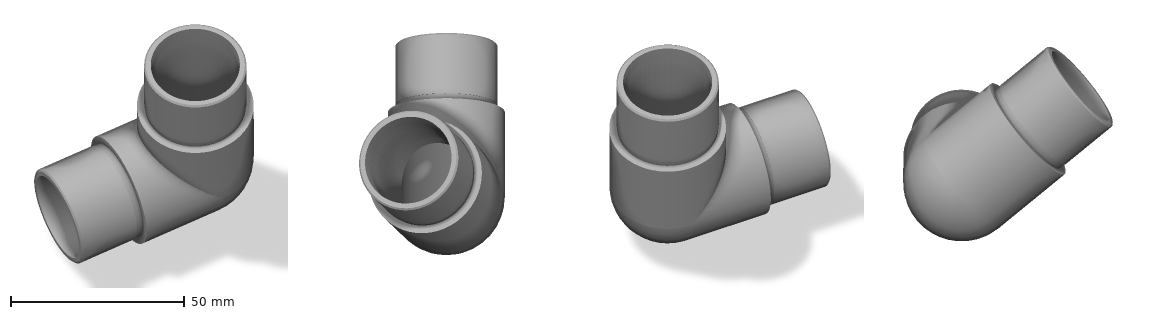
import cadquery as cq

overall_size = 62.0
body_diameter = 33.7
spigot_diameter = 29.6
relief_diameter = 29.2
bore_diameter = 25.7
spigot_length = 20.0
relief_length = 2.0
end_chamfer = 0.5

leg_length = overall_size - body_diameter / 2
shoulder = leg_length - spigot_length

UP = (0, 0, 1)
FORWARD = (0, -1, 0)


def rod(direction, diameter, start, length):
    """Solid cylinder along a leg axis, beginning at a distance from the corner."""
    origin = tuple(start * component for component in direction)
    plane = cq.Plane(origin=origin, xDir=(1, 0, 0), normal=direction)
    return cq.Workplane(plane).circle(diameter / 2).extrude(length)


def round_elbow(diameter, length):
    """Two equal rods mitred at the corner, with a ball rounding the outside of the bend."""
    ball = cq.Workplane("XY").sphere(diameter / 2)
    upright = rod(UP, diameter, 0, length)
    forward = rod(FORWARD, diameter, 0, length)
    return upright.union(forward).union(ball)


def spigot(direction, end_face):
    """Stepped tube end: narrow relief at the shoulder, then a chamfered sleeve."""
    sleeve_start = shoulder + relief_length
    relief = rod(direction, relief_diameter, shoulder, relief_length)
    sleeve = rod(direction, spigot_diameter, sleeve_start, leg_length - sleeve_start)
    return relief.union(sleeve.faces(end_face).chamfer(end_chamfer))


body = round_elbow(body_diameter, shoulder)
bore = round_elbow(bore_diameter, leg_length)

result = body.union(spigot(UP, ">Z")).union(spigot(FORWARD, "<Y")).cut(bore)